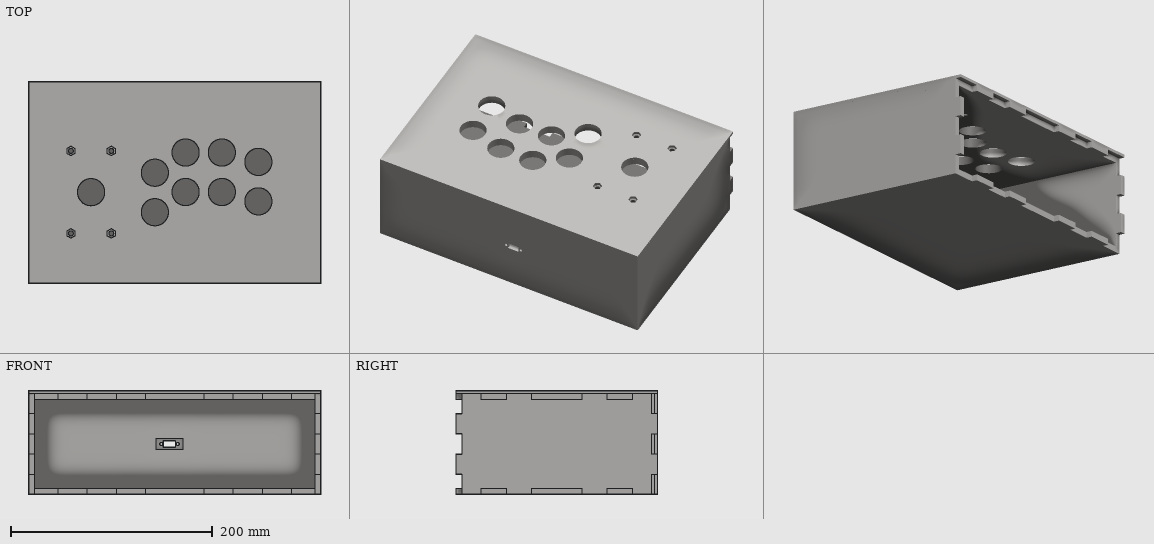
import cadquery as cq

length = 290.0
depth = 200.0
box_height = 100.0
sheet = 6.0
cover_thickness = 3.0

x_step = length / 10
y_step = depth / 8
z_step = box_height / 5
x_tab_spans = [(1, 2), (3, 4), (6, 7), (8, 9)]
y_tab_spans = [(1, 2), (3, 5), (6, 7)]
side_notch_steps = [0, 2, 4]

button_diameter = 27.0
button_row_pitch = 39.2
button_columns = [(-19.7, -10.0), (10.7, 10.2), (46.7, 10.2), (83.0, 1.0)]
stick_x = -83.0
stick_y = -9.5
stick_bolt_pitch_x = 40.0
stick_bolt_pitch_y = 81.8
bolt_diameter = 5.0
bolt_head_flats = 8.0

connector_x = -5.2
connector_z = box_height / 2
window_width = 27.0
window_height = 10.7
opening_width = 12.0
opening_height = 6.5
screw_diameter = 3.0
screw_pitch = 16.5


def block(x_range, y_range, z_range):
    """Box that spans the given ranges."""
    (x0, x1), (y0, y1), (z0, z1) = x_range, y_range, z_range
    return cq.Workplane("XY").box(x1 - x0, y1 - y0, z1 - z0, centered=False).translate((x0, y0, z0))


full_x = (-length / 2, length / 2)
full_y = (-depth / 2, depth / 2)
full_z = (0, box_height)

stick_points = [(stick_x, stick_y)]
button_points = [
    (x, mid_y + side * button_row_pitch / 2) for x, mid_y in button_columns for side in (-1, 1)
]
control_points = stick_points + button_points
bolt_points = [
    (stick_x + i * stick_bolt_pitch_x / 2, stick_y + j * stick_bolt_pitch_y / 2)
    for i in (-1, 1)
    for j in (-1, 1)
]


def round_cutters(points, diameter, z_range):
    """Upright cylinders at the points."""
    bottom, top = z_range
    base_plane = cq.Workplane("XY", origin=(0, 0, bottom))
    return base_plane.pushPoints(points).circle(diameter / 2).extrude(top - bottom)


def tabbed_panel(bottom):
    """Horizontal panel inside the walls, with tabs on all four edges."""
    z_range = (bottom, bottom + sheet)
    inner_x = (-length / 2 + sheet, length / 2 - sheet)
    inner_y = (-depth / 2 + sheet, depth / 2 - sheet)
    panel = block(inner_x, inner_y, z_range)
    for first, last in x_tab_spans:
        tab_x = (full_x[0] + first * x_step, full_x[0] + last * x_step)
        panel = panel.union(block(tab_x, full_y, z_range))
    for first, last in y_tab_spans:
        tab_y = (full_y[0] + first * y_step, full_y[0] + last * y_step)
        panel = panel.union(block(full_x, tab_y, z_range))
    return panel


def make_deck():
    """Top panel with the control holes and the stick's bolt holes."""
    z_range = (box_height - sheet, box_height)
    deck = tabbed_panel(z_range[0])
    deck = deck.cut(round_cutters(control_points, button_diameter, z_range))
    return deck.cut(round_cutters(bolt_points, bolt_diameter, z_range))


def make_cover():
    """Thin sheet on the deck, with hexagonal openings (corners toward +Y and -Y) over the bolts."""
    z_range = (box_height, box_height + cover_thickness)
    cover = block(full_x, full_y, z_range)
    cover = cover.cut(round_cutters(control_points, button_diameter, z_range))
    hexagon = cq.Workplane("XY").polygon(6, bolt_head_flats, circumscribed=True).extrude(cover_thickness)
    for x, y in bolt_points:
        cover = cover.cut(hexagon.translate((x, y, box_height)))
    return cover


def make_side(x_range, panels):
    """End wall with slots for the panels' tabs and notches down its front and back edges."""
    side = block(x_range, full_y, full_z)
    for panel in panels:
        side = side.cut(panel)
    for step in side_notch_steps:
        z_range = (step * z_step, (step + 1) * z_step)
        side = side.cut(block(x_range, (full_y[0], full_y[0] + sheet), z_range))
        side = side.cut(block(x_range, (full_y[1] - sheet, full_y[1]), z_range))
    return side


def make_back_layer(y_range, neighbours):
    """Half of the back wall, cut to fit between the fingers of its neighbours."""
    layer = block(full_x, y_range, full_z)
    for neighbour in neighbours:
        layer = layer.cut(neighbour)
    return layer


def connector_slot(width, height, y_range):
    """Rectangular opening through a back layer, centred on the connector."""
    return block(
        (connector_x - width / 2, connector_x + width / 2),
        y_range,
        (connector_z - height / 2, connector_z + height / 2),
    )


def screw_cutters(y_range):
    """Cylinders along Y for the two connector screws."""
    return (
        cq.Workplane("XZ", origin=(connector_x, y_range[1], connector_z))
        .pushPoints([(-screw_pitch / 2, 0), (screw_pitch / 2, 0)])
        .circle(screw_diameter / 2)
        .extrude(y_range[1] - y_range[0])
    )


base = tabbed_panel(0)
deck = make_deck()
cover = make_cover()

panels = [base, deck]
left_side = make_side((full_x[0], full_x[0] + sheet), panels)
right_side = make_side((full_x[1] - sheet, full_x[1]), panels)

neighbours = panels + [left_side, right_side]
back_joint_y = full_y[1] - sheet / 2
inner_y_range = (full_y[1] - sheet, back_joint_y)
outer_y_range = (back_joint_y, full_y[1])

back_inner = make_back_layer(inner_y_range, neighbours)
back_inner = back_inner.cut(connector_slot(window_width, window_height, inner_y_range))

back_outer = make_back_layer(outer_y_range, neighbours)
back_outer = back_outer.cut(connector_slot(opening_width, opening_height, outer_y_range))
back_outer = back_outer.cut(screw_cutters(outer_y_range))

bodies = [base, deck, cover, left_side, right_side, back_inner, back_outer]
result = cq.Compound.makeCompound([body.solids().val() for body in bodies])